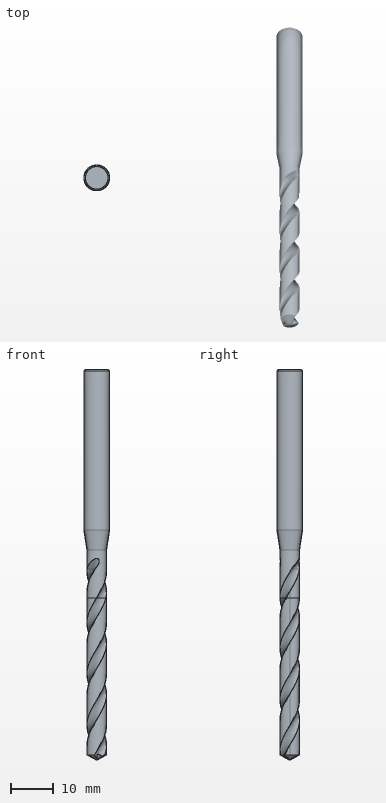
import cadquery as cq
import math

overall_length = 91
shank_radius = 3.0
shank_chamfer = 0.4
drill_radius = 2.3
taper_top = 53.6
taper_bottom = 49.0
split_height = 37.8
point_height = 1.3

flute_count = 2
flute_radius = 1.55
flute_center_radius = 2.7
flute_lead = 23.8
flute_helix_top = 44.6
front_angle = -90
flute_front_height = 23.7
runout_travel = 4.55
runout_slope = 0.9
flute_start = -0.9

gash_radius = 0.55
gash_offset = 0.55
gash_tilt = 35
gash_top = 1.55
gash_length = 3.6


def flute_angle(height):
    """Direction of the first flute, in degrees, at a given height."""
    return front_angle + 360 * (height - flute_front_height) / flute_lead


def flute_section(height):
    """Horizontal circle of a flute cutter, centred towards +X."""
    return cq.Wire.makeCircle(flute_radius, cq.Vector(flute_center_radius, 0, height), cq.Vector(0, 0, 1))


def turn(cutter, angle):
    return cutter.rotate(cq.Vector(0, 0, 0), cq.Vector(0, 0, 1), angle)


def helical_cutter(bottom, top):
    """Twisted part of the first flute between two heights."""
    height = top - bottom
    cutter = cq.Solid.extrudeLinearWithRotation(
        flute_section(bottom),
        [],
        cq.Vector(0, 0, bottom),
        cq.Vector(0, 0, height),
        360 * height / flute_lead,
    )
    return turn(cutter, flute_angle(bottom))


def runout_cutter():
    """Straight, flatter end of the first flute, tangent to a circle about the axis."""
    direction = cq.Vector(0, runout_travel, runout_travel * runout_slope)
    cutter = cq.Solid.extrudeLinear(flute_section(flute_helix_top), [], direction)
    return turn(cutter, flute_angle(flute_helix_top))


def gash_cutter():
    """Tilted cylinder whose inner edge starts on the flute floor facing -Y."""
    tilt = math.radians(gash_tilt)
    floor_radius = flute_center_radius - flute_radius
    direction = cq.Vector(0, math.sin(tilt), -math.cos(tilt))
    outward = cq.Vector(0, -math.cos(tilt), -math.sin(tilt))
    start = cq.Vector(gash_offset, -floor_radius, gash_top) + outward * gash_radius
    return cq.Solid.makeCylinder(gash_radius, gash_length, start, direction)


def cut_flutes(body, cutters):
    """Cut the given cutters of the first flute and their copies, evenly spaced around the axis."""
    for i in range(flute_count):
        for cutter in cutters:
            body = body.cut(cq.Workplane(turn(cutter, 360 * i / flute_count)))
    return body


def make_shank():
    """Chamfered shank, taper and the upper fluted neck."""
    profile = [
        (0, split_height),
        (drill_radius, split_height),
        (drill_radius, taper_bottom),
        (shank_radius, taper_top),
        (shank_radius, overall_length - shank_chamfer),
        (shank_radius - shank_chamfer, overall_length),
        (0, overall_length),
    ]
    blank = cq.Workplane("XZ").polyline(profile).close().revolve(360, (0, 0), (0, 1))
    return cut_flutes(blank, [helical_cutter(split_height, flute_helix_top), runout_cutter()])


def make_cutting_body():
    """Fluted cutting length with its conical point."""
    profile = [
        (0, 0),
        (drill_radius, point_height),
        (drill_radius, split_height),
        (0, split_height),
    ]
    blank = cq.Workplane("XZ").polyline(profile).close().revolve(360, (0, 0), (0, 1))
    return cut_flutes(blank, [helical_cutter(flute_start, split_height), gash_cutter()])


shank = make_shank()
cutting_body = make_cutting_body()

result = cq.Compound.makeCompound([shank.val(), cutting_body.val()])